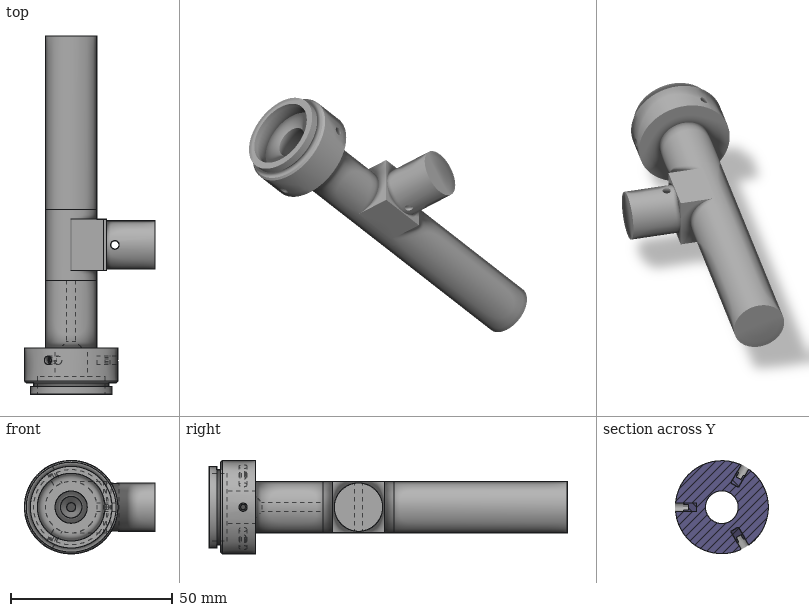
import cadquery as cq
import math

tube_diameter = 16.0
total_length = 111.0

flange_diameter = 25.3
flange_thickness = 2.4
neck_diameter = 23.3
collar_diameter = 29.0
collar_front = 3.5
collar_back = 14.4
collar_chamfer = 0.5
recess_diameter = 21.0
recess_depth = 5.5
bore_diameter = 10.0

screw_count = 3
screw_diameter = 2.5
screw_position = 10.5
screw_length = 4.0
screw_outer_radius = 12.0
screw_inner_radius = screw_outer_radius - screw_length
socket_width = 1.5
socket_depth = 1.5

orifice_diameter = 2.8
funnel_diameter = 6.7
funnel_depth = (funnel_diameter - orifice_diameter) / 2

tee_length = 22.0
tee_center = 46.3
tee_front = tee_center - tee_length / 2
tee_back = tee_center + tee_length / 2
block_reach = 10.0
plate_thickness = 1.0
branch_start = block_reach + plate_thickness
branch_end = 26.0
branch_diameter = 15.0
cross_hole_diameter = 2.5
cross_hole_position = 13.5


def rod(diameter, start, end):
    """Cylinder on the main axis, between two Y positions."""
    return (
        cq.Workplane("XZ", origin=(0, start, 0))
        .circle(diameter / 2)
        .extrude(start - end)
    )


def radial_rod(inner_radius, outer_radius):
    """Cylinder of screw size pointing outward along +X, between two radii from the main axis."""
    return (
        cq.Workplane("YZ", origin=(inner_radius, screw_position, 0))
        .circle(screw_diameter / 2)
        .extrude(outer_radius - inner_radius)
    )


def at_screw_angle(shape, index):
    """Turn a shape from +X to one of the equally spaced screw angles around the main axis."""
    return shape.rotate((0, 0, 0), (0, 1, 0), 360 / screw_count * index)


def make_collar():
    collar = rod(collar_diameter, collar_front, collar_back).faces("<Y").chamfer(collar_chamfer)
    collar = collar.union(rod(neck_diameter, flange_thickness, collar_front))
    collar = collar.union(rod(flange_diameter, 0, flange_thickness))
    collar = collar.cut(rod(recess_diameter, 0, recess_depth))
    collar = collar.cut(rod(bore_diameter, 0, collar_back))
    screw_hole = radial_rod(screw_inner_radius, collar_diameter / 2 + screw_diameter)
    for index in range(screw_count):
        collar = collar.cut(at_screw_angle(screw_hole, index))
    return collar


def make_clamping_screw(index):
    screw = radial_rod(screw_inner_radius, screw_outer_radius)
    hexagon_diameter = socket_width / math.cos(math.pi / 6)
    socket = (
        cq.Workplane("YZ", origin=(screw_outer_radius, screw_position, 0))
        .polygon(6, hexagon_diameter)
        .extrude(-socket_depth)
    )
    return at_screw_angle(screw.cut(socket), index)


def make_lower_tube():
    tube = rod(tube_diameter, collar_back, tee_front)
    funnel = cq.Workplane("XY").add(
        cq.Solid.makeCone(
            funnel_diameter / 2,
            orifice_diameter / 2,
            funnel_depth,
            pnt=cq.Vector(0, collar_back, 0),
            dir=cq.Vector(0, 1, 0),
        )
    )
    return tube.cut(rod(orifice_diameter, collar_back, tee_front)).cut(funnel)


def make_tee():
    block = (
        cq.Workplane("YZ", origin=(0, tee_center, 0))
        .rect(tube_diameter, tube_diameter)
        .extrude(block_reach)
    )
    return rod(tube_diameter, tee_front, tee_back).union(block)


def make_plate():
    return (
        cq.Workplane("YZ", origin=(block_reach, tee_center, 0))
        .rect(tube_diameter, tube_diameter)
        .extrude(plate_thickness)
    )


def make_branch():
    branch = (
        cq.Workplane("YZ", origin=(branch_start, tee_center, 0))
        .circle(branch_diameter / 2)
        .extrude(branch_end - branch_start)
    )
    cross_hole = (
        cq.Workplane("XY", origin=(cross_hole_position, tee_center, 0))
        .circle(cross_hole_diameter / 2)
        .extrude(branch_diameter, both=True)
    )
    return branch.cut(cross_hole)


def make_upper_tube():
    return rod(tube_diameter, tee_back, total_length)


collar = make_collar()
clamping_screws = [make_clamping_screw(index) for index in range(screw_count)]
lower_tube = make_lower_tube()
tee = make_tee()
plate = make_plate()
branch = make_branch()
upper_tube = make_upper_tube()

result = cq.Compound.makeCompound([
    collar.val(),
    *[screw.val() for screw in clamping_screws],
    lower_tube.val(),
    tee.val(),
    plate.val(),
    branch.val(),
    upper_tube.val(),
])